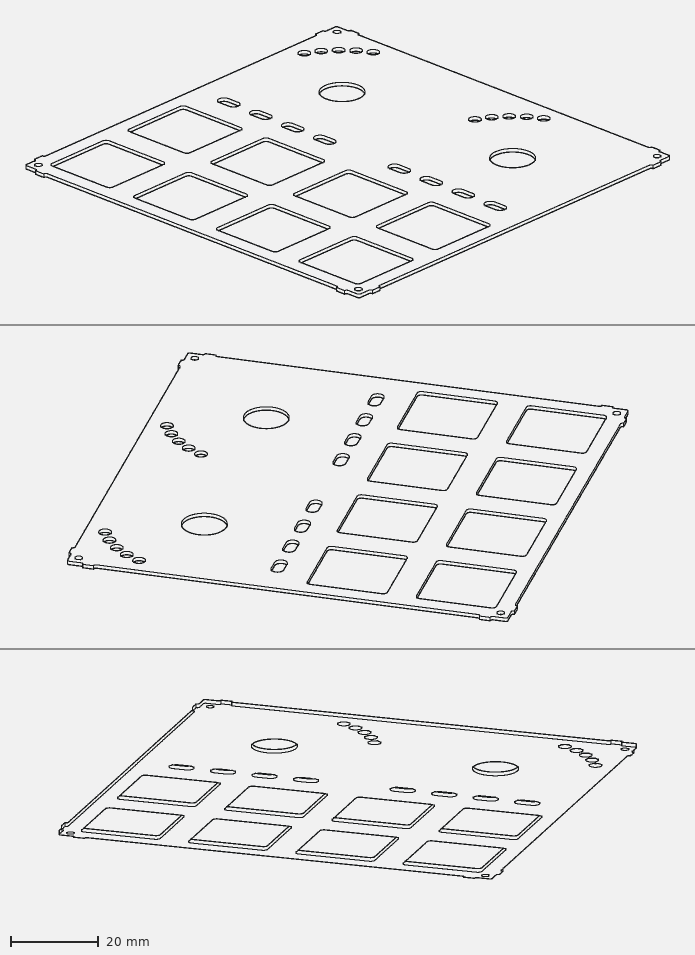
import cadquery as cq
import math

panel_side = 104.35
panel_corner_radius = 0.5
overall_side = 105.6
thickness = 0.91

tab_width = 2.6
tab_offset = 47.0
tab_root_radius = 0.5

corner_hole_diameter = 1.75
corner_hole_offset = 50.0

group_offset = 26.65
knob_diameter = 10.5
knob_y = group_offset
small_hole_diameter = 2.9
arc_radius = 23.0
arc_middle_angle = 135.0
arc_step_angle = 10.0
arc_hole_count = 5
slot_length = 5.9
slot_width = 2.95
slot_pitch = 10.0
slot_count = 4
slot_y = 4.78

window_side = 18.97
window_corner_radius = 1.0
window_pitch = 25.85
window_columns = 4
window_row_ys = (-window_pitch / 2, -window_pitch * 3 / 2)


def centred_positions(count, pitch):
    """Evenly spaced values, centred on zero."""
    return [(index - (count - 1) / 2) * pitch for index in range(count)]


def make_panel():
    """Square sheet with rounded corners; bars across the sheet form the tabs on opposite edges."""
    sheet = cq.Workplane("XY").rect(panel_side, panel_side).extrude(thickness)
    sheet = sheet.edges("|Z").fillet(panel_corner_radius)
    bar_centres = [(-tab_offset, 0), (tab_offset, 0)]
    bars = cq.Workplane("XY").pushPoints(bar_centres).rect(tab_width, overall_side).extrude(thickness)
    crossing_bars = bars.rotate((0, 0, 0), (0, 0, 1), 90)
    return round_tab_roots(sheet.union(bars).union(crossing_bars))


def round_tab_roots(panel):
    """Fillet the inside corners where the tabs meet the edges of the sheet."""
    edge = panel_side / 2
    roots = []
    for tab_centre in (-tab_offset, tab_offset):
        for along in (tab_centre - tab_width / 2, tab_centre + tab_width / 2):
            for side in (-edge, edge):
                for x, y in ((along, side), (side, along)):
                    nearest = cq.selectors.NearestToPointSelector((x, y, thickness / 2))
                    roots.append(panel.edges(nearest).val())
    return panel.newObject(roots).fillet(tab_root_radius)


def round_hole_cutter(points, diameter):
    return cq.Workplane("XY").pushPoints(points).circle(diameter / 2).extrude(thickness)


def corner_hole_cutter():
    offsets = (-corner_hole_offset, corner_hole_offset)
    points = [(x, y) for x in offsets for y in offsets]
    return round_hole_cutter(points, corner_hole_diameter)


def arc_hole_cutter(group_x):
    """Small holes on an arc about the centre of the knob hole."""
    points = []
    for turn in centred_positions(arc_hole_count, arc_step_angle):
        angle = math.radians(arc_middle_angle + turn)
        x = group_x + arc_radius * math.cos(angle)
        y = knob_y + arc_radius * math.sin(angle)
        points.append((x, y))
    return round_hole_cutter(points, small_hole_diameter)


def slot_cutter(group_x):
    points = [(group_x + x, slot_y) for x in centred_positions(slot_count, slot_pitch)]
    return cq.Workplane("XY").pushPoints(points).slot2D(slot_length, slot_width).extrude(thickness)


def window_cutter():
    columns = centred_positions(window_columns, window_pitch)
    points = [(x, y) for x in columns for y in window_row_ys]
    windows = cq.Workplane("XY").pushPoints(points).rect(window_side, window_side).extrude(thickness)
    return windows.edges("|Z").fillet(window_corner_radius)


result = make_panel().cut(corner_hole_cutter()).cut(window_cutter())
for group_x in (-group_offset, group_offset):
    result = result.cut(round_hole_cutter([(group_x, knob_y)], knob_diameter))
    result = result.cut(arc_hole_cutter(group_x))
    result = result.cut(slot_cutter(group_x))
result = result.solids()